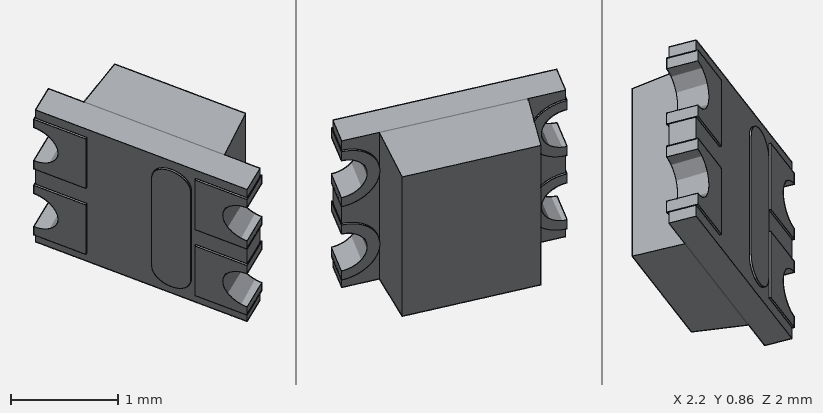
import cadquery as cq
import math

length = 2.2
depth = 0.86
height = 2.0
front_y = -depth / 2
back_y = depth / 2

metal_thickness = 0.02

board_thickness = 0.28
board_side_inset = 0.009
board_length = length - 2 * board_side_inset
board_front_y = front_y + metal_thickness
board_back_y = board_front_y + board_thickness

terminal_length = 0.54
terminal_height = 0.75
terminal_offset_z = height / 4
terminal_depth = board_thickness + 2 * metal_thickness
ring_radius = terminal_height / 2
notch_radius = 0.25

lens_base_length = 1.45
lens_draft = 5.0
lens_depth = back_y - board_back_y
lens_taper = lens_depth * math.tan(math.radians(lens_draft))

bar_width = 0.4
bar_height = 1.75
bar_center_x = 0.317


def box_from(start_y, size_x, size_y, size_z):
    """Box centred in X and Z, running toward +Y from start_y."""
    box = cq.Workplane("XY").box(size_x, size_y, size_z, centered=(True, False, True))
    return box.translate((0, start_y, 0))


def make_lens():
    """Rectangular frustum narrowing toward +Y."""
    return (
        cq.Workplane("XZ", origin=(0, board_back_y, 0))
        .rect(lens_base_length, height)
        .workplane(offset=-lens_depth)
        .rect(lens_base_length - 2 * lens_taper, height - 2 * lens_taper)
        .loft(ruled=True)
    )


def make_polarity_bar():
    """Round-ended upright bar, flush with the front of the terminals."""
    return (
        cq.Workplane("XZ", origin=(bar_center_x, board_front_y, 0))
        .slot2D(bar_height, bar_width, 90)
        .extrude(metal_thickness)
    )


def cylinder_from(start_y, x, z, radius, size_y):
    """Cylinder running toward +Y from start_y."""
    return cq.Workplane("XZ", origin=(x, start_y, z)).circle(radius).extrude(-size_y)


def make_terminal(side, z):
    """Front pad, thin end plating and half-round back pad of one terminal."""
    end_x = side * length / 2
    pad_x = side * (length - terminal_length) / 2
    plating_x = side * (length - board_side_inset) / 2
    front_pad = box_from(front_y, terminal_length, metal_thickness, terminal_height)
    plating = box_from(front_y, board_side_inset, terminal_depth, terminal_height)

    back_disc = cylinder_from(board_back_y, end_x, z, ring_radius, metal_thickness)
    part_bounds = box_from(front_y, length, depth, height)
    back_pad = back_disc.intersect(part_bounds)
    return (
        back_pad
        .union(front_pad.translate((pad_x, 0, z)))
        .union(plating.translate((plating_x, 0, z)))
    )


body = box_from(board_front_y, board_length, board_thickness, height)
body = body.union(make_polarity_bar())

for side in (-1, 1):
    for level in (-1, 1):
        terminal_z = level * terminal_offset_z
        notch_x = side * length / 2
        notch = cylinder_from(front_y, notch_x, terminal_z, notch_radius, terminal_depth)
        body = body.union(make_terminal(side, terminal_z))
        body = body.cut(notch)

result = body.union(make_lens())